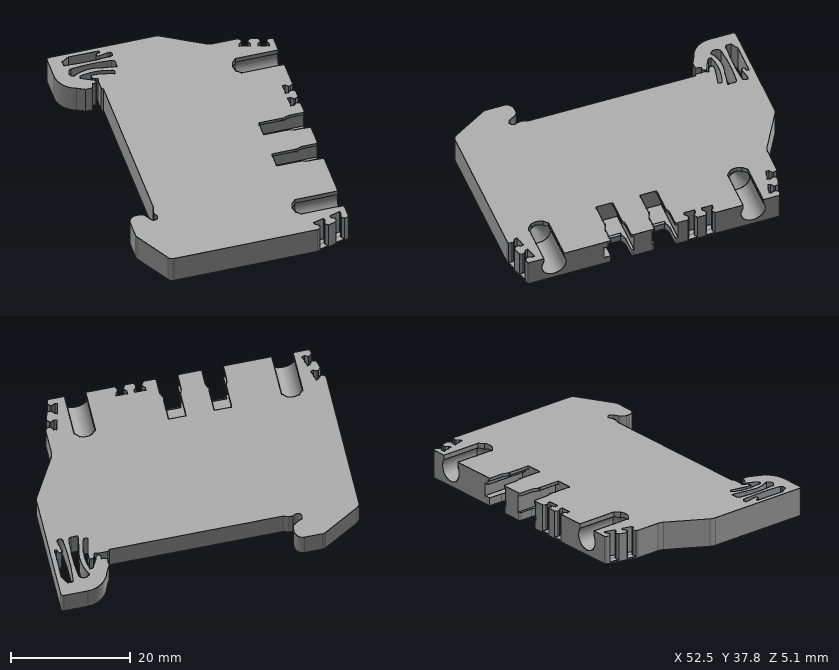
import cadquery as cq
import math


length = 52.5
height = 37.8
thickness = 5.1

left_step = 4.45
slant_angle = 30.0
shoulder_low = 19.35
face_angle = 15.0
face_bottom = 31.9
shoulder_radius = 2.0
corner_radius = 1.05
top_radius = 0.2
foot_corner_radius = 0.45

rail_seat = 7.1
rail_lip = 6.75
right_foot_bottom = 2.3
right_foot_left = 40.7
right_foot_slope_start = 45.55
right_foot_low_radius = 1.45

bore_centers = (10.8, 46.3)
bore_radius = 2.15
bore_depth = 7.45
bore_axis = 3.1
bore_gap_width = 3.6
bore_gap_tip = 1.0
bore_gap_bevel = 0.75

notch_width = 3.7
notch_centers = (26.5, 34.35)
notch_straight = 2.55
notch_depth = 3.95
notch_floor_width = 2.6
notch_radius = 2.6
notch_lip_radius = 0.3
pocket_width = 3.0
pocket_undercut = 0.45
pocket_bottom = 8.15
pocket_floor = 1.45
pocket_lip = 0.5
right_pocket_step = 0.75
right_pocket_step_drop = 0.8
pocket_radius = 0.2
pocket_bevel_width = 0.35
pocket_bevel_height = 0.15

groove_pitch = 3.15
groove_pair_center = 20.0
groove_face_center = 34.65
groove_mouth_width = 1.7
groove_neck_width = 1.05
groove_head_width = 1.9
groove_neck_start = 0.5
groove_neck_end = 0.85
groove_head_start = 1.3
groove_depth = 1.8
groove_floor = 0.45
groove_floor_drop = 0.15

face_run = (height - face_bottom) * math.tan(math.radians(face_angle))
shoulder_rise = left_step / math.tan(math.radians(slant_angle))
right_slope_top = right_foot_bottom + (length - right_foot_slope_start) * math.tan(
    math.radians(slant_angle)
)


def plate_outline():
    """Outer outline, counter-clockwise from the lower left corner."""
    outline = cq.Workplane("XY").moveTo(0, 0).lineTo(4.6, 0)

    outline = outline.tangentArcPoint((8.45, 2.85), relative=False)
    outline = outline.lineTo(9.15, 4.2).lineTo(9.15, 5.4).lineTo(8.15, 5.65)
    outline = outline.lineTo(8.15, 6.15).threePointArc((8.05, 6.35), (7.8, 6.45))
    outline = outline.lineTo(7.55, 6.45).lineTo(7.35, 6.25).lineTo(7.2, 5.9)

    outline = outline.threePointArc((6.8, 5.0), (6.3, 4.15)).lineTo(5.85, 4.15)
    outline = outline.threePointArc((5.45, 6.55), (5.95, 9.7))
    outline = outline.threePointArc((6.25, 10.1), (6.75, 9.9))
    outline = outline.lineTo(6.15, 6.95).lineTo(6.15, 6.0).lineTo(6.8, 6.0)

    outline = outline.lineTo(7.15, 6.45).lineTo(7.15, 6.65)
    outline = outline.threePointArc((7.4, 6.95), (7.65, rail_lip))

    outline = outline.lineTo(9.55, rail_lip).lineTo(9.85, rail_seat)
    outline = outline.lineTo(39.55, rail_seat).lineTo(40.55, rail_lip)
    outline = outline.lineTo(41.15, rail_lip).lineTo(41.55, 6.95)

    outline = outline.threePointArc((42.65, 6.5), (42.15, 5.8)).lineTo(41.35, 5.35)
    outline = outline.threePointArc((40.9, 4.95), (right_foot_left, 4.3))
    outline = outline.lineTo(right_foot_left, right_foot_bottom + right_foot_low_radius)
    outline = outline.tangentArcPoint(
        (right_foot_left + right_foot_low_radius, right_foot_bottom), relative=False
    )
    outline = outline.lineTo(right_foot_slope_start, right_foot_bottom)
    outline = outline.lineTo(length, right_slope_top)

    outline = outline.lineTo(length, face_bottom).lineTo(length - face_run, height)
    outline = outline.lineTo(left_step + face_run, height).lineTo(left_step, face_bottom)
    outline = outline.lineTo(left_step, shoulder_low + shoulder_rise)
    return outline.lineTo(0, shoulder_low).close()


def round_edge(body, x, y, radius):
    """Round the Z-parallel edge standing at (x, y)."""
    reach = 0.05
    low_corner = (x - reach, y - reach, 0)
    high_corner = (x + reach, y + reach, thickness)
    edge = cq.selectors.BoxSelector(low_corner, high_corner)
    return body.edges("|Z").edges(edge).fillet(radius)


def make_plate():
    body = plate_outline().extrude(thickness)
    body = round_edge(body, 0, 0, foot_corner_radius)
    body = round_edge(body, 0, shoulder_low, shoulder_radius)
    body = round_edge(body, left_step, shoulder_low + shoulder_rise, shoulder_radius)
    body = round_edge(body, length, right_slope_top, corner_radius)
    body = round_edge(body, right_foot_slope_start, right_foot_bottom, corner_radius)
    for x in (left_step + face_run, length - face_run):
        body = round_edge(body, x, height, top_radius)
    return body


def make_outer_slot():
    """Slot next to the left wall, with a small hook reaching into it."""
    slot = cq.Workplane("XY").moveTo(0.85, 3.6).lineTo(1.65, 2.3).lineTo(2.45, 2.3)
    slot = slot.lineTo(2.6, 2.5).threePointArc((2.85, 6.45), (2.6, 10.4))
    slot = slot.threePointArc((2.15, 10.85), (1.7, 10.65)).lineTo(1.7, 10.2)
    slot = slot.lineTo(2.0, 8.65).threePointArc((1.65, 8.25), (1.3, 8.55))
    return slot.lineTo(1.2, 8.9).lineTo(0.85, 8.9).close().extrude(thickness)


def make_inner_slot():
    """Bowed slot between the two spring fingers."""
    slot = cq.Workplane("XY").moveTo(3.75, 3.2).threePointArc((4.6, 2.6), (5.5, 3.2))
    slot = slot.lineTo(5.25, 3.7).threePointArc((4.6, 6.05), (4.9, 8.15)).lineTo(5.3, 10.8)
    slot = slot.lineTo(4.15, 10.8).threePointArc((3.8, 10.65), (3.6, 10.35))
    return slot.threePointArc((3.45, 6.6), (3.75, 3.2)).close().extrude(thickness)


def make_bore(x):
    """Round screw bore with a 45 degree tip, reached through a gap in the top face."""
    end_y = height - bore_depth
    half_section = cq.Workplane("XY").polyline([
        (0, height),
        (bore_radius, height),
        (bore_radius, end_y),
        (0, end_y - bore_radius),
    ]).close()
    bore = half_section.revolve(360, (0, 0, 0), (0, 1, 0))

    half_gap = bore_gap_width / 2
    half_tip = half_gap - bore_gap_bevel
    tip_y = end_y - bore_gap_bevel
    gap = cq.Workplane("XY").moveTo(-half_gap, height).lineTo(-half_gap, end_y).lineTo(-half_tip, tip_y)
    gap = gap.threePointArc((0, end_y - bore_gap_tip), (half_tip, tip_y))
    gap = gap.lineTo(half_gap, end_y).lineTo(half_gap, height).close()

    return bore.union(gap.extrude(thickness - bore_axis)).translate((x, 0, bore_axis))


def make_notch(x):
    """Through notch whose sides curve inwards towards the floor."""
    side_y = height - notch_straight
    floor_y = height - notch_depth
    notch = cq.Workplane("XY").moveTo(x - notch_width / 2, height)
    notch = notch.lineTo(x - notch_width / 2, side_y)
    notch = notch.radiusArc((x - notch_floor_width / 2, floor_y), -notch_radius)
    notch = notch.lineTo(x + notch_floor_width / 2, floor_y)
    notch = notch.radiusArc((x + notch_width / 2, side_y), -notch_radius)
    return notch.lineTo(x + notch_width / 2, height).close().extrude(thickness)


def make_cavity(left, right, ceiling):
    """Box from the pocket floor to a ceiling, open to the top edge."""
    corner = (left, height - pocket_bottom, pocket_floor)
    cavity = cq.Workplane("XY").box(right - left, pocket_bottom, ceiling - pocket_floor, centered=False)
    return cavity.translate(corner)


def make_pocket(x):
    """Blind pocket below a notch, widened under its lip."""
    end_y = height - pocket_bottom
    notch_y = height - notch_depth
    floor_profile = cq.Workplane("YZ").polyline([
        (end_y, thickness),
        (end_y, pocket_floor),
        (notch_y - pocket_bevel_width, pocket_floor),
        (notch_y, pocket_floor - pocket_bevel_height),
        (notch_y, thickness),
    ]).close()
    pocket = floor_profile.extrude(pocket_width / 2, both=True)
    pocket = pocket.edges("|Z and <Y").fillet(pocket_radius)

    half_width = notch_width / 2 + pocket_undercut
    cavity = make_cavity(-half_width, half_width, thickness - pocket_lip)
    return pocket.union(cavity).translate((x, 0, 0))


def make_groove():
    """Marker groove cut from an edge lying on Y = 0, with the material below it."""
    half_outline = [
        (groove_mouth_width / 2, 0),
        (groove_neck_width / 2, -groove_neck_start),
        (groove_neck_width / 2, -groove_neck_end),
        (groove_head_width / 2, -groove_head_start),
        (groove_head_width / 2, -groove_depth),
    ]
    mirrored = [(-x, y) for x, y in reversed(half_outline)]
    groove = cq.Workplane("XY").polyline(half_outline + mirrored).close().extrude(thickness)
    floor = cq.Workplane("YZ").polyline([
        (-groove_depth, 0),
        (0, 0),
        (0, groove_floor - groove_floor_drop),
        (-groove_neck_end, groove_floor),
        (-groove_depth, groove_floor),
    ]).close().extrude(groove_head_width, both=True)
    return groove.cut(floor)


plate = make_plate()

for notch_x in notch_centers:
    plate = plate.cut(make_notch(notch_x))

lip_offset = notch_width / 2
rounded_lips = (
    notch_centers[0] - lip_offset,
    notch_centers[0] + lip_offset,
    notch_centers[1] - lip_offset,
)
for lip_x in rounded_lips:
    plate = round_edge(plate, lip_x, height, notch_lip_radius)

for notch_x in notch_centers:
    plate = plate.cut(make_pocket(notch_x))

pocket_wall = notch_centers[1] + notch_width / 2 + pocket_undercut
step_ceiling = thickness - pocket_lip - right_pocket_step_drop
plate = plate.cut(make_cavity(notch_centers[1], pocket_wall + right_pocket_step, step_ceiling))

for bore_x in bore_centers:
    plate = plate.cut(make_bore(bore_x))

plate = plate.cut(make_outer_slot()).cut(make_inner_slot())

groove = make_groove()
face_inset = (groove_face_center - face_bottom) * math.tan(math.radians(face_angle))
face_tilt = 90 - face_angle
groove_rows = (
    (groove_pair_center, height, 0),
    (left_step + face_inset, groove_face_center, face_tilt),
    (length - face_inset, groove_face_center, -face_tilt),
)
for x, y, turn in groove_rows:
    for offset in (-groove_pitch / 2, groove_pitch / 2):
        cutter = groove.translate((offset, 0, 0)).rotate((0, 0, 0), (0, 0, 1), turn)
        plate = plate.cut(cutter.translate((x, y, 0)))

result = plate